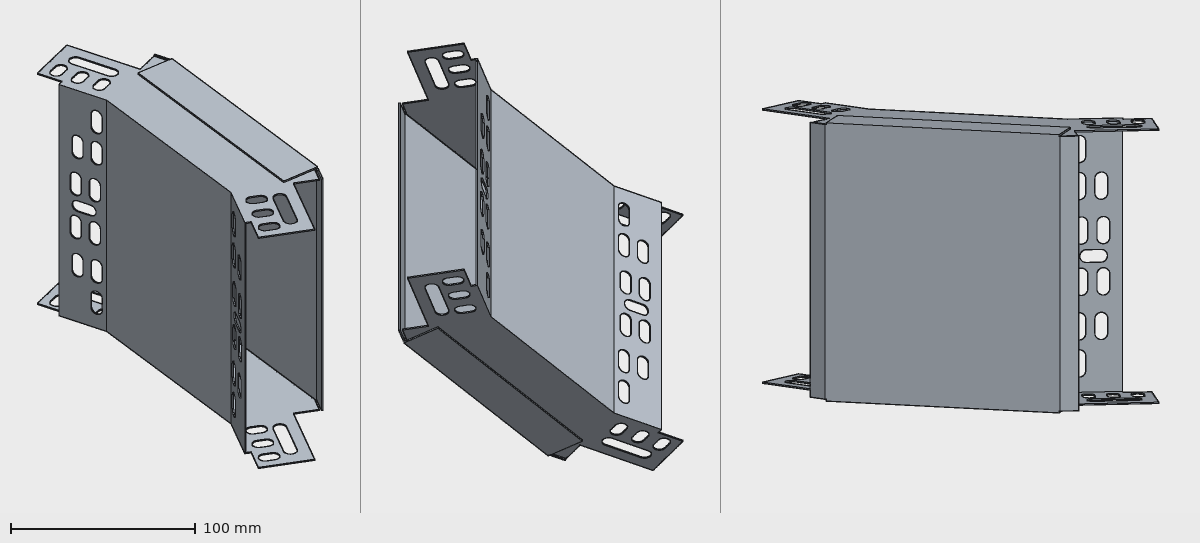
import cadquery as cq
import math


TRAY_SHEET = 0.8
COVER_SHEET = 1.0
INNER_WIDTH = 149.6
WALL_HEIGHT = 49.6
COVER_GAP = 1.0
BEND_ANGLE = 22.5
BASE_HALF_LENGTH = 55.8
BASE_ARM_LENGTH = 30.0

TONGUE_START = -0.4
TONGUE_END = 45.6
TONGUE_TOP = 35.1
TONGUE_BOTTOM = 3.55

COVER_LIP_HEIGHT = 23.0
COVER_LIP_SETBACK = 0.4

LONG_SLOT_WIDTH = 7.5
LONG_SLOT_LENGTH = 30.0
LONG_SLOT_PLACE = (22.6, 24.5)
SHORT_SLOT_WIDTH = 7.0
SHORT_SLOT_LENGTH = 11.8
SHORT_SLOT_FIRST = 10.1
SHORT_SLOT_PITCH = 13.5
SHORT_SLOT_COUNT = 3
SHORT_SLOT_HEIGHT = 11.75

BASE_SLOT_WIDTH = 7.0
BASE_SLOT_LENGTH = 15.0
BASE_SLOT_PITCH = 12.0
BASE_SLOT_COLUMNS = 2
OUTER_ROWS_FIRST = 6.4
INNER_ROW_FIRST = 7.5
INNER_ROW_Z = 14.1
MIDDLE_ROW_Z = 38.6
EDGE_ROW_Z = 59.0
CROSS_SLOT_PLACE = 14.2

TRAY_WIDTH = INNER_WIDTH + 2 * TRAY_SHEET
COVER_INNER_Y = WALL_HEIGHT + COVER_GAP
COVER_OUTER_Y = COVER_INNER_Y + COVER_SHEET
BEND = math.radians(BEND_ANGLE)
BEND_TAPER = math.tan(BEND / 2)


def arm_point(along, height):
    """XY of a point on the right arm: distance from the bend line, and height over the outer face."""
    x = BASE_HALF_LENGTH + along * math.cos(BEND) + height * math.sin(BEND)
    y = height * math.cos(BEND) - along * math.sin(BEND)
    return (x, y)


def bend_point(height):
    """XY of the point on the right bend plane at a height over the base's outer face."""
    return (BASE_HALF_LENGTH + height * BEND_TAPER, height)


def symmetric_plate(right_points, width):
    """Plate centred on Z whose outline is the given right half and its mirror image."""
    left_points = [(-x, y) for x, y in reversed(right_points)]
    return cq.Workplane("XY").polyline(right_points + left_points).close().extrude(width / 2, both=True)


def both_ends(shape):
    """The shape on the right arm together with its mirror image on the left arm."""
    return shape.union(shape.mirror("YZ"))


def tongue_slots():
    """Cutters for the slots through the two side walls of the right arm."""
    plane = cq.Plane(
        origin=(BASE_HALF_LENGTH, 0, 0),
        xDir=(math.cos(BEND), -math.sin(BEND), 0),
        normal=(0, 0, 1),
    )
    short_places = [
        (SHORT_SLOT_FIRST + i * SHORT_SLOT_PITCH, SHORT_SLOT_HEIGHT) for i in range(SHORT_SLOT_COUNT)
    ]
    long_slot = cq.Workplane(plane).pushPoints([LONG_SLOT_PLACE]).slot2D(LONG_SLOT_LENGTH, LONG_SLOT_WIDTH)
    short_slots = cq.Workplane(plane).pushPoints(short_places).slot2D(SHORT_SLOT_LENGTH, SHORT_SLOT_WIDTH, 90)
    return long_slot.extrude(TRAY_WIDTH, both=True).union(short_slots.extrude(TRAY_WIDTH, both=True))


def base_slots():
    """Cutters for the slots through the base of the right arm."""
    plane = cq.Plane(
        origin=(BASE_HALF_LENGTH, 0, 0),
        xDir=(math.cos(BEND), -math.sin(BEND), 0),
        normal=(-math.sin(BEND), -math.cos(BEND), 0),
    )
    places = []
    for side in (-1, 1):
        places.append((OUTER_ROWS_FIRST, side * EDGE_ROW_Z))
        for i in range(BASE_SLOT_COLUMNS):
            places.append((OUTER_ROWS_FIRST + i * BASE_SLOT_PITCH, side * MIDDLE_ROW_Z))
            places.append((INNER_ROW_FIRST + i * BASE_SLOT_PITCH, side * INNER_ROW_Z))
    cross_rows = cq.Workplane(plane).pushPoints(places).slot2D(BASE_SLOT_LENGTH, BASE_SLOT_WIDTH, 90)
    centre_slot = cq.Workplane(plane).center(CROSS_SLOT_PLACE, 0).slot2D(BASE_SLOT_LENGTH, BASE_SLOT_WIDTH)
    depth = 2 * TRAY_SHEET
    return cross_rows.extrude(depth, both=True).union(centre_slot.extrude(depth, both=True))


def make_tray():
    """Bent base with two side walls that run on into slotted coupling tongues."""
    base = symmetric_plate(
        [
            bend_point(0),
            arm_point(BASE_ARM_LENGTH, 0),
            arm_point(BASE_ARM_LENGTH, TRAY_SHEET),
            bend_point(TRAY_SHEET),
        ],
        TRAY_WIDTH,
    )
    wall_outline = [
        bend_point(0),
        arm_point(BASE_ARM_LENGTH, 0),
        arm_point(BASE_ARM_LENGTH, TONGUE_BOTTOM),
        arm_point(TONGUE_END, TONGUE_BOTTOM),
        arm_point(TONGUE_END, TONGUE_TOP),
        arm_point(TONGUE_START, TONGUE_TOP),
        arm_point(TONGUE_START, WALL_HEIGHT),
        bend_point(WALL_HEIGHT),
    ]
    walls = symmetric_plate(wall_outline, TRAY_WIDTH).cut(symmetric_plate(wall_outline, INNER_WIDTH))
    tray = base.union(walls)
    return tray.cut(both_ends(tongue_slots())).cut(both_ends(base_slots()))


def make_cover():
    """Panel bent at both ends, with a straight lip over the outside of each side wall."""
    panel = symmetric_plate(
        [
            bend_point(COVER_INNER_Y),
            arm_point(0, COVER_INNER_Y),
            arm_point(0, COVER_OUTER_Y),
            bend_point(COVER_OUTER_Y),
        ],
        TRAY_WIDTH,
    )
    half_length = bend_point(COVER_INNER_Y)[0] - COVER_LIP_SETBACK
    lip_y = COVER_OUTER_Y - COVER_LIP_HEIGHT / 2
    for side in (-1, 1):
        lip_z = side * (TRAY_WIDTH + COVER_SHEET) / 2
        lip = cq.Workplane("XY").box(2 * half_length, COVER_LIP_HEIGHT, COVER_SHEET)
        panel = panel.union(lip.translate((0, lip_y, lip_z)))
    return panel


tray = make_tray()
cover = make_cover()
result = cq.Compound.makeCompound([tray.val(), cover.val()])